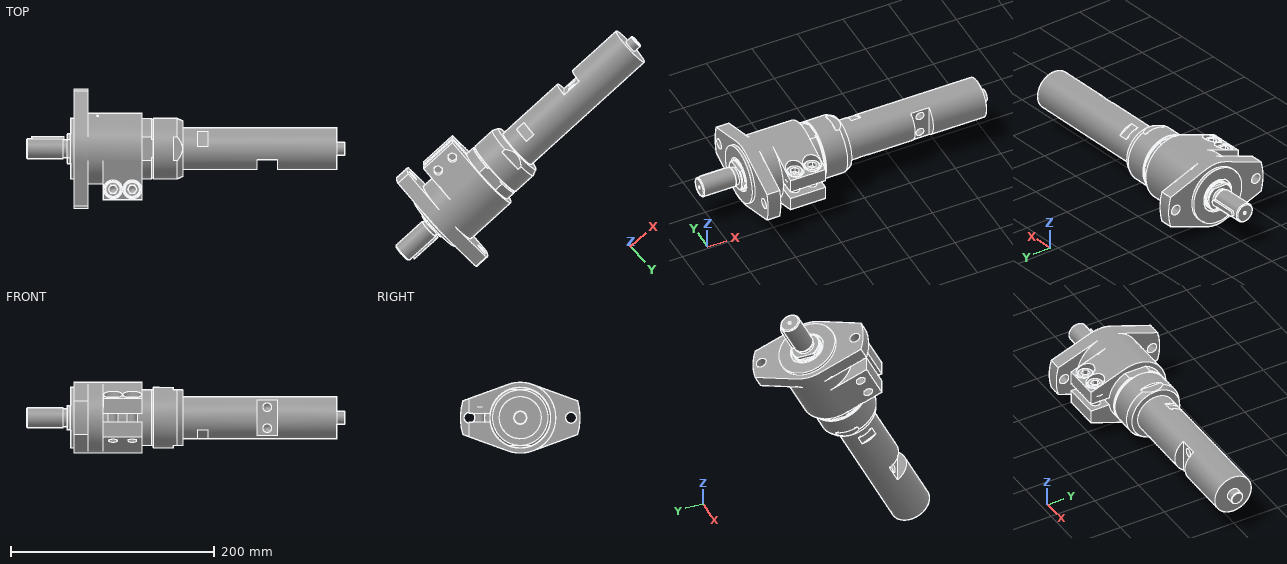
import cadquery as cq
import math

shaft_end = 36.0
collar_start = 39.7
pilot_start = 43.5
flange_start = 46.5
flange_thickness = 14.0
flange_end = flange_start + flange_thickness
clamp_start = 75.3
clamp_length = 38.6
clamp_end = clamp_start + clamp_length
groove_start = 123.0
groove_width = 1.5
groove_end = groove_start + groove_width
nut_taper_start = 148.3
nut_end = 154.2
tube_end = 305.5
overall_length = 313.5

shaft_diameter = 20.0
shaft_neck_diameter = 18.0
collar_diameter = 29.95
pilot_diameter = 60.0
pilot_recess_diameter = 35.0
pilot_recess_depth = 2.5
body_diameter = 70.0
barrel_diameter = 60.0
groove_diameter = 58.0
nut_end_diameter = 54.6
tube_diameter = 41.5
pin_diameter = 13.0
shaft_chamfer = 1.0
collar_chamfer = 0.8
nut_chamfer = 0.5
pin_chamfer = 0.5

center_hole_diameter = 1.6
center_hole_depth = 3.0
center_sink_diameter = 3.2
center_sink_angle = 60.0
key_width = 6.0
key_start = 5.0
key_length = 32.0
key_top = 12.0
collar_across_flats = 24.0

side_slope = 20.0
flange_width = 118.0
flange_hole_diameter = 10.5
flange_hole_offset = 50.0

mark_hole_x = 69.9
mark_hole_y = 32.3
mark_hole_diameter = 1.6
mark_hole_depth = 3.0

clamp_reach = 50.5
clamp_gap = 8.5
screw_offset = 40.0
screw_spacing = 19.0
screw_diameter = 10.0
screw_head_diameter = 16.0
screw_head_height = 10.0
screw_head_top = 20.4
screw_head_chamfer = 1.0
socket_sides = 6
screw_socket_size = 8.0
screw_socket_depth = 5.0
counterbore_diameter = 18.4
tapped_hole_diameter = 8.57
screw_tip_height = -14.0

barrel_across_flats = 55.2
nut_flat_start = 144.5
tube_flat_start = 168.5
tube_flat_length = 10.0
tube_across_flats = 38.0
tube_flat_angle = 30.0
notch_start = 227.0
notch_length = 20.0
notch_floor = 11.0
port_diameter = 8.57
port_spacing = 20.7
port_depth = 10.0
drill_point_angle = 118.0

cutter_clearance = 1.0


def cylinder(start, end, diameter):
    """Solid cylinder on the X axis."""
    return cq.Workplane("YZ").workplane(offset=start).circle(diameter / 2).extrude(end - start)


def drill(diameter, depth):
    """Drill shape entering along -Z from the origin, with a conical tip below the full depth."""
    radius = diameter / 2
    tip = radius / math.tan(math.radians(drill_point_angle / 2))
    profile = [(0, 0), (radius, 0), (radius, -depth), (0, -depth - tip)]
    return cq.Workplane("XZ").polyline(profile).close().revolve(360, (0, 0, 0), (0, 1, 0))


def cone_sink(diameter, angle):
    """Conical countersink entering along -Z from the origin."""
    radius = diameter / 2
    depth = radius / math.tan(math.radians(angle / 2))
    profile = [(0, 0), (radius, 0), (0, -depth)]
    return cq.Workplane("XZ").polyline(profile).close().revolve(360, (0, 0, 0), (0, 1, 0))


def flats_cutter(start, end, diameter, across_flats):
    """Material of a cylinder on the X axis lying outside two flats facing +Z and -Z."""
    length = end - start
    slab = cq.Workplane("XY").box(length, diameter + cutter_clearance, across_flats)
    return cylinder(start, end, diameter + cutter_clearance).cut(slab.translate((start + length / 2, 0, 0)))


def make_shaft():
    """Keyed drive shaft with a relieved neck and a centre hole in its tip."""
    shaft = cylinder(0, shaft_end, shaft_diameter).faces("<X").chamfer(shaft_chamfer)
    shaft = shaft.union(cylinder(shaft_end, flange_start, shaft_neck_diameter))
    center_hole = drill(center_hole_diameter, center_hole_depth)
    center_hole = center_hole.union(cone_sink(center_sink_diameter, center_sink_angle))
    shaft = shaft.cut(center_hole.rotate((0, 0, 0), (0, 1, 0), -90))
    key = (
        cq.Workplane("XZ")
        .center(key_start + key_length / 2, 0)
        .slot2D(key_length, key_width)
        .extrude(-key_top)
    )
    return shaft.union(key)


def make_collar():
    """Flatted disc ahead of the pilot face and a round disc behind it, both with chamfered rims."""
    front = cylinder(collar_start, pilot_start, collar_diameter).faces("<X or >X").chamfer(collar_chamfer)
    front = front.cut(flats_cutter(collar_start, pilot_start, collar_diameter, collar_across_flats))
    rear = cylinder(pilot_start, flange_start, collar_diameter).faces("<X").chamfer(collar_chamfer)
    return front.union(rear)


def make_flange():
    """Diamond flange: straight sides tangent to the body circle, ends rounded about the axis."""
    slope = math.radians(side_slope)
    radius = body_diameter / 2
    tangent_y = radius * math.sin(slope)
    tangent_z = radius * math.cos(slope)
    half_width = flange_width / 2
    corner_angle = math.acos(radius / half_width)
    corner_y = half_width * math.sin(slope + corner_angle)
    corner_z = half_width * math.cos(slope + corner_angle)
    flange = (
        cq.Workplane("YZ", origin=(flange_start, 0, 0))
        .moveTo(-tangent_y, tangent_z)
        .threePointArc((0, radius), (tangent_y, tangent_z))
        .lineTo(corner_y, corner_z)
        .threePointArc((half_width, 0), (corner_y, -corner_z))
        .lineTo(tangent_y, -tangent_z)
        .threePointArc((0, -radius), (-tangent_y, -tangent_z))
        .lineTo(-corner_y, -corner_z)
        .threePointArc((-half_width, 0), (-corner_y, corner_z))
        .close()
        .extrude(flange_thickness)
    )
    holes = (
        cq.Workplane("YZ", origin=(flange_start, 0, 0))
        .pushPoints([(-flange_hole_offset, 0), (flange_hole_offset, 0)])
        .circle(flange_hole_diameter / 2)
        .extrude(flange_thickness)
    )
    pilot = cylinder(pilot_start, flange_start, pilot_diameter)
    recess = cylinder(pilot_start, pilot_start + pilot_recess_depth, pilot_recess_diameter)
    return flange.cut(holes).union(pilot).cut(recess)


def make_mark_hole():
    """Small vertical hole into the round body near its +Y side."""
    surface_z = math.sqrt((body_diameter / 2) ** 2 - mark_hole_y**2)
    return (
        cq.Workplane("XY", origin=(mark_hole_x, mark_hole_y, surface_z - mark_hole_depth))
        .circle(mark_hole_diameter / 2)
        .extrude(2 * mark_hole_depth)
    )


def make_screw():
    """Socket head screw about the Z axis."""
    head = (
        cq.Workplane("XY", origin=(0, 0, screw_head_top - screw_head_height))
        .circle(screw_head_diameter / 2)
        .extrude(screw_head_height)
        .faces(">Z")
        .chamfer(screw_head_chamfer)
    )
    corner_diameter = screw_socket_size / math.cos(math.pi / socket_sides)
    socket = (
        cq.Workplane("XY", origin=(0, 0, screw_head_top))
        .polygon(socket_sides, corner_diameter)
        .extrude(-screw_socket_depth)
    )
    socket_point = drill(screw_socket_size, screw_socket_depth).translate((0, 0, screw_head_top))
    shank = (
        cq.Workplane("XY", origin=(0, 0, screw_tip_height))
        .circle(screw_diameter / 2)
        .extrude(screw_head_top - screw_head_height - screw_tip_height)
    )
    return head.cut(socket).cut(socket_point).union(shank)


def make_clamp():
    """Ring with two jaws on the -Y side, drawn together by two screws."""
    slope = math.radians(side_slope)
    radius = body_diameter / 2
    tangent_y = -radius * math.sin(slope)
    tangent_z = radius * math.cos(slope)
    jaw_z = tangent_z - (clamp_reach + tangent_y) * math.tan(slope)
    jaws = (
        cq.Workplane("YZ", origin=(clamp_start, 0, 0))
        .polyline([
            (tangent_y, tangent_z),
            (-clamp_reach, jaw_z),
            (-clamp_reach, -jaw_z),
            (tangent_y, -tangent_z),
        ])
        .close()
        .extrude(clamp_length)
    )
    clamp = cylinder(clamp_start, clamp_end, body_diameter).union(jaws)
    gap = cq.Workplane("XY").box(clamp_length, clamp_reach, clamp_gap, centered=(False, False, True))
    gap = gap.translate((clamp_start, -clamp_reach, 0))
    clamp = clamp.cut(gap).union(cylinder(clamp_start, clamp_end, barrel_diameter))
    screw = make_screw()
    seat = screw_head_top - screw_head_height
    clamp_middle = clamp_start + clamp_length / 2
    for side in (-1, 1):
        place = (clamp_middle + side * screw_spacing / 2, -screw_offset, 0)
        counterbore = (
            cq.Workplane("XY", origin=(0, 0, seat)).circle(counterbore_diameter / 2).extrude(radius)
        )
        tapped_hole = (
            cq.Workplane("XY", origin=(0, 0, screw_tip_height))
            .circle(tapped_hole_diameter / 2)
            .extrude(-radius)
        )
        clamp = clamp.cut(counterbore.translate(place)).cut(tapped_hole.translate(place))
        clamp = clamp.union(screw.translate(place))
    return clamp


def make_barrel():
    """Flatted neck, narrow groove and tapered nut behind the clamp."""
    neck = cylinder(clamp_end, groove_start, barrel_diameter)
    neck = neck.cut(flats_cutter(clamp_end, groove_start, barrel_diameter, barrel_across_flats))
    groove = cylinder(groove_start, groove_end, groove_diameter)
    groove = groove.cut(flats_cutter(groove_start, groove_end, barrel_diameter, barrel_across_flats))
    radius = barrel_diameter / 2
    profile = [
        (groove_end, 0),
        (groove_end, radius - nut_chamfer),
        (groove_end + nut_chamfer, radius),
        (nut_taper_start, radius),
        (nut_end, nut_end_diameter / 2),
        (nut_end, 0),
    ]
    nut = cq.Workplane("XY").polyline(profile).close().revolve(360, (0, 0, 0), (1, 0, 0))
    nut = nut.cut(flats_cutter(nut_flat_start, nut_end, barrel_diameter, barrel_across_flats))
    return neck.union(groove).union(nut)


def make_tube():
    """Rear tube with two tilted spanner flats, a port notch on the -Y side and an end pin."""
    tube = cylinder(nut_end, tube_end, tube_diameter)
    tube_flats = flats_cutter(
        tube_flat_start, tube_flat_start + tube_flat_length, tube_diameter, tube_across_flats
    )
    tube = tube.cut(tube_flats.rotate((0, 0, 0), (1, 0, 0), -tube_flat_angle))
    notch = cq.Workplane("XY").box(
        notch_length, tube_diameter, tube_diameter, centered=(False, False, True)
    )
    tube = tube.cut(notch.translate((notch_start, -notch_floor - tube_diameter, 0)))
    port = drill(port_diameter, port_depth).rotate((0, 0, 0), (1, 0, 0), 90)
    for side in (-1, 1):
        place = (notch_start + notch_length / 2, -notch_floor, side * port_spacing / 2)
        tube = tube.cut(port.translate(place))
    pin = cylinder(tube_end, overall_length, pin_diameter).faces(">X").chamfer(pin_chamfer)
    return tube.union(pin)


result = (
    make_flange()
    .union(make_collar())
    .union(make_shaft())
    .union(cylinder(flange_end, clamp_start, body_diameter))
    .union(make_clamp())
    .union(make_barrel())
    .union(make_tube())
    .cut(make_mark_hole())
)